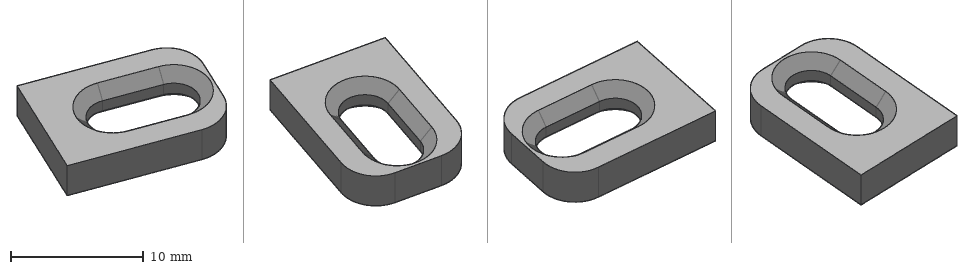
import cadquery as cq

length = 14.0
width = 10.0
thickness = 3.0
corner_radius = 3.0

slot_width = 4.0
slot_center_spacing = 5.0
countersink = 1.0
countersink_end_gap = 0.25

slot_length = slot_center_spacing + slot_width
slot_center_y = length / 2 - countersink_end_gap - countersink - slot_length / 2


def make_plate():
    """Rectangular plate centered on the origin, with both +Y corners rounded."""
    plate = cq.Workplane("XY").box(length=width, width=length, height=thickness)
    return plate.edges("|Z and >Y").fillet(corner_radius)


def make_flare():
    """Countersink at the top face, narrowing downward at 45 degrees to the slot size."""
    return (
        cq.Workplane("XY", origin=(0, slot_center_y, thickness / 2))
        .slot2D(slot_length + 2 * countersink, slot_width + 2 * countersink, angle=90)
        .extrude(-countersink, taper=45)
    )


def make_slot_cutter():
    """Straight slot with the same countersink at both faces."""
    straight_slot = (
        cq.Workplane("XY")
        .center(0, slot_center_y)
        .slot2D(slot_length, slot_width, angle=90)
        .extrude(thickness / 2, both=True)
    )
    top_flare = make_flare()
    bottom_flare = top_flare.mirror("XY")
    return straight_slot.union(top_flare).union(bottom_flare)


result = make_plate().cut(make_slot_cutter())